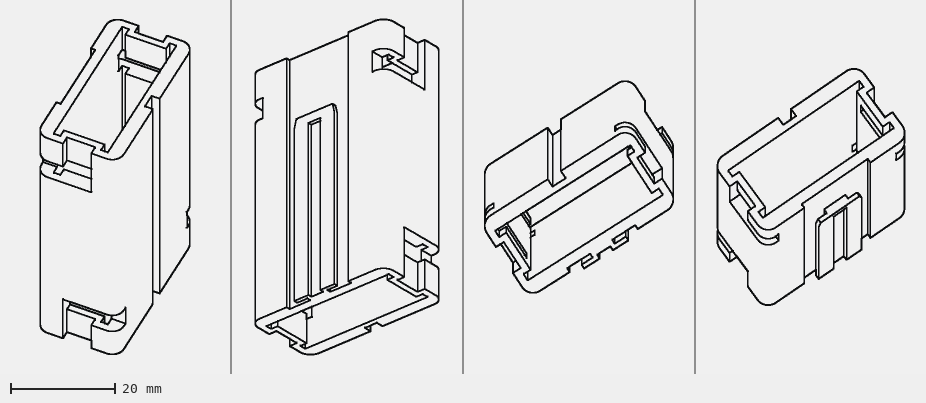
import cadquery as cq

height = 55.0
body_width = 17.5
body_length = 34.0
corner_radius = 2.5

side_wall = 3.0
end_wall = 1.6
cavity_width = body_width - 2 * side_wall
cavity_length = body_length - 2 * end_wall

recess_width = 6.0
recess_depth = 1.8
strip_wall = 1.4
strip_side_overlap = 1.3
strip_width = recess_width + 2 * strip_side_overlap
strip_depth = recess_depth + strip_wall

window_offset = 6.5
window_height = 4.5
window_depth = strip_depth

panel_length = 15.5
panel_depth = 0.9
rail_height = 40.0
rail_length = 10.1
rail_thickness = 0.9
rail_stem_length = 5.0
rail_taper_inset = 0.5
rail_taper_height = 2.0
rail_slot_length = 3.0
rail_slot_depth = rail_thickness
rail_slot_height = 38.0

groove_length = 3.0
groove_depth = 1.7

side_x = body_width / 2
end_y = body_length / 2


def box(x_range, y_range, z_range):
    """Axis-aligned block; the ends of each range may be given in either order."""
    x_low, x_high = sorted(x_range)
    y_low, y_high = sorted(y_range)
    z_low, z_high = sorted(z_range)
    block = cq.Workplane("XY").box(x_high - x_low, y_high - y_low, z_high - z_low, centered=False)
    return block.translate((x_low, y_low, z_low))


def centred(length):
    """Range of the given length about zero."""
    return (-length / 2, length / 2)


def make_sleeve():
    outer = cq.Workplane("XY").rect(body_width, body_length).extrude(height)
    outer = outer.edges("|Z").fillet(corner_radius)
    cavity = cq.Workplane("XY").rect(cavity_width, cavity_length).extrude(height)
    return outer.cut(cavity)


def add_end_strips(body):
    for side in (-1, 1):
        y_range = (side * (end_y - end_wall), side * (end_y - strip_depth))
        body = body.union(box(centred(strip_width), y_range, (0, height)))
    return body


def cut_end_openings(body):
    """Upper windows run out through -X, lower ones through +X; a recess joins each to the rim."""
    recess_edge = recess_width / 2
    top_window = height - window_offset
    for side in (-1, 1):
        window_y = (side * end_y, side * (end_y - window_depth))
        recess_y = (side * end_y, side * (end_y - recess_depth))
        upper_window = box((-side_x, recess_edge), window_y, (top_window - window_height, top_window))
        lower_window = box((-recess_edge, side_x), window_y, (window_offset, window_offset + window_height))
        upper_recess = box(centred(recess_width), recess_y, (top_window, height))
        lower_recess = box(centred(recess_width), recess_y, (0, window_offset))
        for opening in (upper_window, lower_window, upper_recess, lower_recess):
            body = body.cut(opening)
    return body


def cut_side_channels(body):
    panel = box((-side_x, -side_x + panel_depth), centred(panel_length), (0, height))
    groove = box((side_x - groove_depth, side_x), centred(groove_length), (0, height))
    return body.cut(panel).cut(groove)


def make_rail():
    half_length = rail_length / 2
    top_half_length = half_length - rail_taper_inset
    taper_start = rail_height - rail_taper_height
    outer_x = -side_x - rail_thickness
    plate = (
        cq.Workplane("YZ", origin=(outer_x, 0, 0))
        .moveTo(-half_length, 0)
        .lineTo(half_length, 0)
        .lineTo(half_length, taper_start)
        .lineTo(top_half_length, rail_height)
        .lineTo(-top_half_length, rail_height)
        .lineTo(-half_length, taper_start)
        .close()
        .extrude(rail_thickness)
    )
    stem = box((-side_x, -side_x + panel_depth), centred(rail_stem_length), (0, rail_height))
    slot = box((outer_x, outer_x + rail_slot_depth), centred(rail_slot_length), (0, rail_slot_height))
    return plate.union(stem).cut(slot)


sleeve = add_end_strips(make_sleeve())
sleeve = cut_end_openings(sleeve)
sleeve = cut_side_channels(sleeve)
result = sleeve.union(make_rail())